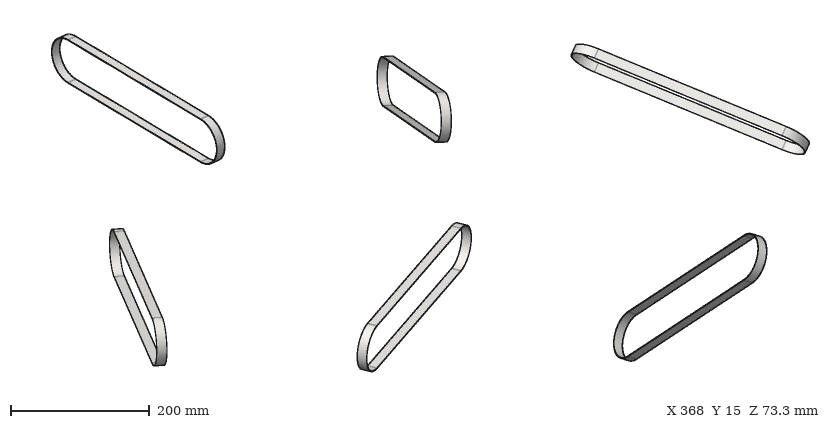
import cadquery as cq

length = 368.0
height = 73.3
width = 15.0
thickness = 1.5

inner_length = length - 2 * thickness
inner_height = height - 2 * thickness


def stadium(overall_length, overall_height):
    """Solid with straight runs and full-round ends, centred on the origin."""
    return (
        cq.Workplane("XZ")
        .slot2D(overall_length, overall_height)
        .extrude(width / 2, both=True)
    )


result = stadium(length, height).cut(stadium(inner_length, inner_height))